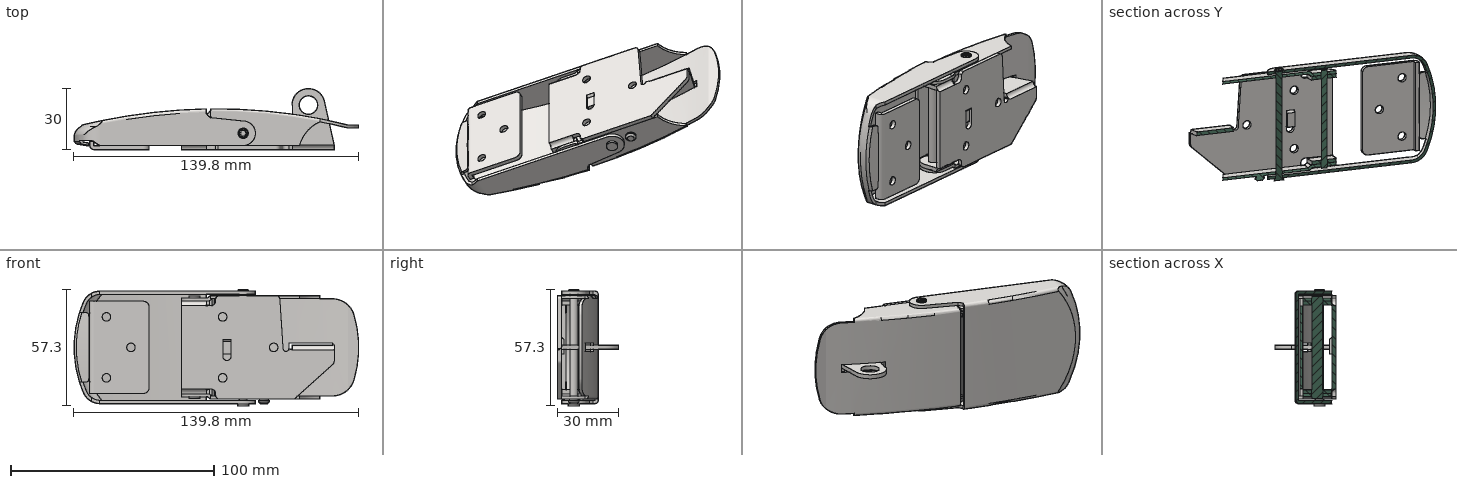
import cadquery as cq
import math


TOTAL_LENGTH = 139.8
TOTAL_WIDTH = 57.3
TOTAL_HEIGHT = 30.0
PLATE = 2.1
RIM = 2.1
BEND = 2.3
HOLE_RADIUS = 2.1
HOLE_Z = 15.0
NOSE_RADIUS = 55.9
ABOVE = 55.9

HINGE_X = 59.1
HINGE_Y = 9.2
HINGE_RADIUS = 2.7
HINGE_LENGTH = 50.3
PIVOT_X = 83.0
PIVOT_Y = 8.1
PIVOT_RADIUS = 2.0
PIVOT_TOP = 28.5
PIVOT_HEAD = 2.5
PIVOT_FOOT = 2.8
HEAD_CHAMFER = 0.4
SOCKET_RADIUS = 1.3
SOCKET_DEPTH = 1.4
LOBES = 6
LOBE_RADIUS = 0.49

COVER_HALF = 27.7
COVER_WALL = 1.7
COVER_END = 65.0
COVER_FILLET = 1.7
COVER_CORNER = 9.1
COVER_TOP = [(-2.8, 10.5), (32.9, 17.6), (COVER_END, 20.1)]
NOSE_ROUND = [(-0.1, 5.0), (1.1, 9.6), (3.4, 11.5)]
NOSE_SLOPE = 1.0
RIM_RISE = 4.5
RIM_KNEE_X = 8.7
RIM_FOOT_X = 12.6
ARM_RADIUS = PIVOT_Y - RIM
ARM_ROOT_Y = 15.8
ARM_ROOT_X = 66.8
LIP_HALF = 17.0
LIP_TIP = 7.3
LIP_CORNER = 1.4
LIP_THICK = 1.1
LIP_LINE = [(-1.4, 5.6), (1.1, 2.8), (11.2, 1.1)]

HANDLE_START = 67.1
HANDLE_HALF = 25.5
HANDLE_WALL = 1.5
HANDLE_CREST = 20.1
HANDLE_MIDDLE = (107.5, 17.5)
GRIP_BEND = (134.5, 12.2)
GRIP_CORNER = 11.2
HANDLE_FILLET = 1.4
WALL_END_LOW = 110.7
WALL_END_MIDDLE = (114.1, 8.7)
WALL_END_HIGH = (120.7, 13.7)
HANDLE_INNER = HANDLE_HALF - HANDLE_WALL
LEG_RADIUS = 6.5
LEG_FLAT = 0.5
LEG_OUTER = 24.3
LEG_JOG = (65.6, 67.0)
LEG_END = 71.3
TONGUE_TIP = 55.5
TONGUE_TOP = 17.8
TONGUE_HALF = 20.4
TONGUE_STEP_START = 65.6
TONGUE_STEP_END = 67.8
STUD_X = 93.3
STUD_NECK = 0.5
STUD_NECK_RADIUS = 2.2
STUD_HEAD = 1.7
STUD_RADIUS = 2.7
STUD_CHAMFER = 1.0
SLOT_LEFT = 105.5
SLOT_RIGHT = 127.0
SLOT_WIDTH = 4.0

BASE_LEFT = HINGE_X - LEG_RADIUS
BASE_RIGHT = 127.8
BASE_HALF = 25.5
SLOPE_START_X = 108.1
SLOPE_END_Z = -7.7
TOP_CORNER_X = 101.0
SLOPE_CORNER = 2.8
TOP_CORNER = 2.1
EAR_OUTER = LEG_OUTER - HANDLE_WALL
EAR_BEND_END = 65.0
EAR_END = 66.4
NOTCH_RADIUS = 2.2
SHOULDER_X = 70.7
LUG_FACE = 1.1
LUG_LEFT = 107.2
EYE_X = 115.0
EYE_RADIUS = 8.1
EYE_HOLE = 4.5
RELIEF_RADIUS = 1.4
RELIEF_X = 104.0
RELIEF_Z = -0.5
TAB_X = 75.1
TAB_WIDTH = 4.0
TAB_ROOT = 3.9
TAB_END = -3.4
TAB_LIFT = 1.1
SLOT_END = -6.5
BASE_HOLES = [(73.0, HOLE_Z), (73.0, -HOLE_Z), (98.0, 0)]

STRIKE_LEFT = 7.7
STRIKE_RIGHT = 36.9
STRIKE_HALF = 22.6
STRIKE_HOOK = 4.2
STRIKE_CORNER = 3.0
STRIKE_HOLES = [(16.0, HOLE_Z), (16.0, -HOLE_Z), (28.0, 0)]


def slab(outline, low, high):
    """Extrude a closed side outline (X, Y) from Z = low to Z = high."""
    return outline.extrude(high - low).translate((0, 0, low))


def rise(outline, low, high):
    """Extrude a closed plan outline (X, Z) from Y = low to Y = high."""
    return outline.extrude(-(high - low)).translate((0, low, 0))


def post(x, y, radius, low, high):
    """Round post along Z."""
    return slab(cq.Workplane("XY").center(x, y).circle(radius), low, high)


def bore(x, z):
    """Round mounting hole through a plate."""
    return rise(cq.Workplane("XZ").center(x, z).circle(HOLE_RADIUS), -PLATE, 2 * PLATE)


def both_sides(body):
    """The body together with its mirror image across the middle plane."""
    return body.union(body.mirror("XY"))


def make_strike():
    """Flat plate whose end bends up into a hook."""
    side = (
        cq.Workplane("XY")
        .moveTo(STRIKE_RIGHT, 0)
        .lineTo(STRIKE_LEFT + BEND, 0)
        .radiusArc((STRIKE_LEFT, BEND), BEND)
        .lineTo(STRIKE_LEFT, STRIKE_HOOK)
        .lineTo(STRIKE_LEFT + PLATE, STRIKE_HOOK)
        .lineTo(STRIKE_LEFT + PLATE, PLATE)
        .lineTo(STRIKE_RIGHT, PLATE)
        .close()
    )
    strike = slab(side, -STRIKE_HALF, STRIKE_HALF)
    strike = strike.edges("|Y").edges(">X").fillet(STRIKE_CORNER)
    for x, z in STRIKE_HOLES:
        strike = strike.cut(bore(x, z))
    return strike


def base_sheet():
    """Flat part of the base, notched beside the ears and beside the lug."""
    neck = EAR_OUTER - BEND
    notch_left = EAR_BEND_END + NOTCH_RADIUS
    notch_right = notch_left + NOTCH_RADIUS
    shoulder = BASE_HALF - (SHOULDER_X - notch_right)
    lug_root = LUG_FACE - BEND
    outline = (
        cq.Workplane("XZ")
        .moveTo(BASE_LEFT, -neck)
        .lineTo(notch_left, -neck)
        .radiusArc((notch_right, -neck - NOTCH_RADIUS), NOTCH_RADIUS)
        .lineTo(notch_right, -shoulder)
        .lineTo(SHOULDER_X, -BASE_HALF)
        .lineTo(SLOPE_START_X, -BASE_HALF)
        .lineTo(BASE_RIGHT, SLOPE_END_Z)
        .lineTo(BASE_RIGHT, lug_root)
        .lineTo(LUG_LEFT, lug_root)
        .lineTo(RELIEF_X + RELIEF_RADIUS, RELIEF_Z)
        .threePointArc((RELIEF_X, RELIEF_Z - RELIEF_RADIUS), (RELIEF_X - RELIEF_RADIUS, RELIEF_Z))
        .lineTo(TOP_CORNER_X, BASE_HALF)
        .lineTo(SHOULDER_X, BASE_HALF)
        .lineTo(notch_right, shoulder)
        .lineTo(notch_right, neck + NOTCH_RADIUS)
        .radiusArc((notch_left, neck), NOTCH_RADIUS)
        .lineTo(BASE_LEFT, neck)
        .close()
    )
    sheet = rise(outline, 0, PLATE)
    for x, z, radius in [(BASE_RIGHT, SLOPE_END_Z, SLOPE_CORNER), (TOP_CORNER_X, BASE_HALF, TOP_CORNER)]:
        corner = cq.selectors.NearestToPointSelector((x, PLATE / 2, z))
        sheet = sheet.edges(corner).fillet(radius)
    return sheet


def bend_strip(face_z, start_x, end_x):
    """Quarter-round plate bend from the flat sheet up to a wall whose outer face is at face_z."""
    section = (
        cq.Workplane("YZ")
        .moveTo(0, face_z - BEND)
        .radiusArc((BEND, face_z), -BEND)
        .lineTo(BEND, face_z - PLATE)
        .radiusArc((PLATE, face_z - BEND), BEND - PLATE)
        .close()
    )
    return section.extrude(end_x - start_x).translate((start_x, 0, 0))


def make_ear():
    """Upright ear at +Z with a rounded top around the hinge pin."""
    shoulder_y = HINGE_Y + LEG_FLAT
    outline = (
        cq.Workplane("XY")
        .moveTo(BASE_LEFT, BEND)
        .lineTo(BASE_LEFT, shoulder_y)
        .threePointArc((HINGE_X, shoulder_y + LEG_RADIUS), (HINGE_X + LEG_RADIUS, shoulder_y))
        .lineTo(EAR_END, BEND)
        .close()
    )
    ear = slab(outline, EAR_OUTER - PLATE, EAR_OUTER)
    return ear.union(bend_strip(EAR_OUTER, BASE_LEFT, EAR_BEND_END))


def make_lug():
    """Upright lug with a round eye for a padlock."""
    eye_y = TOTAL_HEIGHT - EYE_RADIUS
    run = BASE_RIGHT - EYE_X
    drop = eye_y - BEND
    angle = math.acos(EYE_RADIUS / math.hypot(run, drop)) - math.atan2(drop, run)
    touch = (EYE_X + EYE_RADIUS * math.cos(angle), eye_y + EYE_RADIUS * math.sin(angle))
    outline = (
        cq.Workplane("XY")
        .moveTo(LUG_LEFT, BEND)
        .lineTo(LUG_LEFT, eye_y)
        .lineTo(EYE_X - EYE_RADIUS, eye_y)
        .threePointArc((EYE_X, TOTAL_HEIGHT), touch)
        .lineTo(BASE_RIGHT, BEND)
        .close()
    )
    lug = slab(outline, LUG_FACE - PLATE, LUG_FACE)
    lug = lug.cut(post(EYE_X, eye_y, EYE_HOLE, -ABOVE, ABOVE))
    return lug.union(bend_strip(LUG_FACE, LUG_LEFT, BASE_RIGHT))


def tab_slot():
    """Slot in the base with one square end and one round end."""
    half = TAB_WIDTH / 2
    outline = (
        cq.Workplane("XZ")
        .moveTo(TAB_X - half, TAB_ROOT)
        .lineTo(TAB_X + half, TAB_ROOT)
        .lineTo(TAB_X + half, SLOT_END + half)
        .threePointArc((TAB_X, SLOT_END), (TAB_X - half, SLOT_END + half))
        .close()
    )
    return rise(outline, -PLATE, 2 * PLATE)


def raised_tab():
    """Tab pressed inward from the slot's square end, joined there by a short slope."""
    section = (
        cq.Workplane("YZ")
        .moveTo(0, TAB_ROOT)
        .lineTo(TAB_LIFT, TAB_ROOT - TAB_LIFT)
        .lineTo(TAB_LIFT, TAB_END)
        .lineTo(TAB_LIFT + PLATE, TAB_END)
        .lineTo(TAB_LIFT + PLATE, TAB_ROOT)
        .lineTo(PLATE, TAB_ROOT + TAB_LIFT)
        .lineTo(0, TAB_ROOT + TAB_LIFT)
        .close()
    )
    return section.extrude(TAB_WIDTH).translate((TAB_X - TAB_WIDTH / 2, 0, 0))


def make_base():
    """Mounting plate with two hinge ears, a padlock lug and a pressed tab."""
    base = base_sheet().union(both_sides(make_ear())).union(make_lug())
    base = base.cut(tab_slot()).union(raised_tab())
    for x, z in BASE_HOLES:
        base = base.cut(bore(x, z))
    return base.cut(post(HINGE_X, HINGE_Y, HINGE_RADIUS, -ABOVE, ABOVE))


def nose_plan(inset):
    """Plan shape of the cover: straight sides, a wide nose curve and rounded corners."""
    half = COVER_HALF - inset
    length = 2 * NOSE_RADIUS
    sides = rise(cq.Workplane("XZ").center(length / 2, 0).rect(length, 2 * half), 0, ABOVE)
    nose = rise(cq.Workplane("XZ").center(NOSE_RADIUS, 0).circle(NOSE_RADIUS - inset), 0, ABOVE)
    return sides.intersect(nose).edges("|Y").edges("<X").fillet(COVER_CORNER - inset)


def nose_dome(inset):
    """Disc with a rounded upper rim, which turns the top of the cover over into the nose."""
    rim, shoulder, crest = [(x + inset, y) for x, y in NOSE_ROUND]
    outline = (
        cq.Workplane("XY")
        .moveTo(NOSE_RADIUS, 0)
        .lineTo(rim[0], 0)
        .lineTo(*rim)
        .threePointArc(shoulder, crest)
        .lineTo(NOSE_RADIUS, crest[1] + NOSE_SLOPE * (NOSE_RADIUS - crest[0]))
        .close()
    )
    return outline.revolve(360, (NOSE_RADIUS, 0), (NOSE_RADIUS, 1))


def cover_top(drop):
    """Crowned top edge of the cover, lowered by drop, running from its end to its nose."""
    nose, middle, end = [(x, y - drop) for x, y in COVER_TOP]
    return cq.Workplane("XY").moveTo(*end).threePointArc(middle, nose)


def cover_block():
    """Solid cover with its two arms still joined across the width."""
    outline = (
        cover_top(0)
        .lineTo(COVER_TOP[0][0], 0)
        .lineTo(RIM_FOOT_X, 0)
        .lineTo(RIM_FOOT_X, RIM)
        .lineTo(PIVOT_X, RIM)
        .threePointArc((PIVOT_X + ARM_RADIUS, PIVOT_Y), (PIVOT_X, PIVOT_Y + ARM_RADIUS))
        .lineTo(ARM_ROOT_X, ARM_ROOT_Y)
        .lineTo(COVER_END, ARM_ROOT_Y + ARM_ROOT_X - COVER_END)
        .close()
    )
    block = slab(outline, -COVER_HALF, COVER_HALF)
    block = block.intersect(nose_plan(0))
    edge = cq.selectors.NearestToPointSelector((*COVER_TOP[1], COVER_HALF))
    return block.edges(edge).fillet(COVER_FILLET).intersect(nose_dome(0))


def cover_cavity():
    """Room inside the cover, open below and towards the handle."""
    outline = (
        cover_top(COVER_WALL)
        .lineTo(COVER_TOP[0][0], 0)
        .lineTo(2 * PIVOT_X, 0)
        .lineTo(2 * PIVOT_X, ABOVE)
        .lineTo(COVER_END, ABOVE)
        .close()
    )
    cavity = slab(outline, -ABOVE, ABOVE)
    return cavity.intersect(nose_plan(COVER_WALL)).intersect(nose_dome(COVER_WALL))


def rim_cut():
    """Space under the nose at +Z, beside the lip."""
    outline = (
        cq.Workplane("XY")
        .moveTo(-1.4, 0)
        .lineTo(RIM_FOOT_X, 0)
        .lineTo(RIM_FOOT_X, RIM)
        .lineTo(RIM_KNEE_X, RIM_RISE)
        .lineTo(-1.4, RIM_RISE)
        .close()
    )
    return slab(outline, LIP_HALF, ABOVE)


def nose_ring(section):
    """Revolve a section, given as (distance in from the nose, Y), along the nose curve."""
    outline = cq.Workplane("XY").polyline(section).close()
    return outline.revolve(360, (NOSE_RADIUS, 0), (NOSE_RADIUS, 1))


def lip_strip(length, corner):
    """Middle strip of the nose, as wide as the lip, with its inner corners rounded."""
    middle_x = length - ABOVE / 2
    strip = rise(cq.Workplane("XZ").center(middle_x, 0).rect(ABOVE, 2 * LIP_HALF), -1.4, ABOVE)
    return strip.edges("|Y").edges(">X").fillet(corner) if corner else strip


def below_nose_line(line):
    """Everything under a line of (distance in from the nose, Y) points, all along the nose."""
    first, last = line[0][0], line[-1][0]
    return nose_ring([(first, -1.4), *line, (last, -1.4)])


def make_cover():
    """Sheet cover that hooks the strike and ends in two pivot arms."""
    lip_top = [(x, y + LIP_THICK) for x, y in LIP_LINE]
    lip = below_nose_line(lip_top).intersect(lip_strip(LIP_TIP, LIP_CORNER))
    under_lip = below_nose_line(LIP_LINE).intersect(lip_strip(LIP_TIP + 1.4, 0))
    cover = cover_block().cut(cover_cavity().cut(lip))
    cover = cover.cut(rim_cut()).cut(rim_cut().mirror("XY")).cut(under_lip)
    return cover.cut(post(PIVOT_X, PIVOT_Y, PIVOT_RADIUS, -ABOVE, ABOVE))


def under_top(drop, half):
    """Everything under the handle's top surface lowered by drop: crown and flat grip."""
    bend_x, bend_y = GRIP_BEND
    middle_x, middle_y = HANDLE_MIDDLE
    outline = (
        cq.Workplane("XY")
        .moveTo(TOTAL_LENGTH, bend_y - drop)
        .lineTo(bend_x, bend_y - drop)
        .threePointArc((middle_x, middle_y - drop), (HANDLE_START, HANDLE_CREST - drop))
        .lineTo(HANDLE_START, 0)
        .lineTo(TOTAL_LENGTH, 0)
        .close()
    )
    return slab(outline, -half, half)


def top_sheet():
    """Sheet from the tongue end of the handle to the rounded end of the grip."""
    centre_x = TOTAL_LENGTH - NOSE_RADIUS
    plan = rise(cq.Workplane("XZ").center(centre_x, 0).circle(NOSE_RADIUS), 0, ABOVE)
    sheet_sides = under_top(0, HANDLE_INNER).cut(under_top(HANDLE_WALL, HANDLE_INNER))
    block = cq.Workplane("XZ").center(centre_x, 0).rect(2 * NOSE_RADIUS, 2 * HANDLE_INNER)
    plan = plan.intersect(rise(block, 0, ABOVE)).edges("|Y").edges(">X").fillet(GRIP_CORNER)
    return sheet_sides.intersect(plan)


def side_walls():
    """Two side walls, rounded along the top and hollowed by an arc at their free ends."""
    walls = under_top(0, HANDLE_HALF)
    for side in (-1, 1):
        top_edge = cq.selectors.NearestToPointSelector((PIVOT_X, HANDLE_CREST, side * HANDLE_HALF))
        walls = walls.edges(top_edge).fillet(HANDLE_FILLET)
    outside = (
        cq.Workplane("XY")
        .moveTo(0, RIM)
        .lineTo(WALL_END_LOW, RIM)
        .threePointArc(WALL_END_MIDDLE, WALL_END_HIGH)
        .lineTo(WALL_END_HIGH[0], ABOVE)
        .lineTo(TOTAL_LENGTH, ABOVE)
        .lineTo(TOTAL_LENGTH, 0)
        .lineTo(0, 0)
        .close()
    )
    return walls.cut(slab(outside, -ABOVE, ABOVE)).cut(under_top(-ABOVE, HANDLE_INNER))


def make_tongue():
    """Tongue that steps down from the handle and reaches in under the end of the cover."""
    low_y = TONGUE_TOP - HANDLE_WALL
    sheet_y = HANDLE_CREST - HANDLE_WALL / 2
    middle_y = TONGUE_TOP - HANDLE_WALL / 2
    step = (
        cq.Workplane("XY")
        .moveTo(TONGUE_STEP_START, low_y)
        .lineTo(TONGUE_STEP_END, low_y)
        .lineTo(TONGUE_STEP_END + HANDLE_WALL, sheet_y)
        .lineTo(HANDLE_START, sheet_y)
        .lineTo(TONGUE_STEP_START, TONGUE_TOP)
        .close()
    )
    length = TONGUE_STEP_END - TONGUE_TIP
    flat = cq.Workplane("XY").center(TONGUE_TIP + length / 2, middle_y).rect(length, HANDLE_WALL)
    return slab(step, -HANDLE_INNER, HANDLE_INNER).union(slab(flat, -TONGUE_HALF, TONGUE_HALF))


def make_leg():
    """Leg at +Z, jogged inward from the side wall and rounded around the hinge pin."""
    jog_start, jog_end = LEG_JOG
    jog = HANDLE_HALF - LEG_OUTER
    plan = (
        cq.Workplane("XZ")
        .moveTo(BASE_LEFT, LEG_OUTER)
        .lineTo(jog_start, LEG_OUTER)
        .lineTo(jog_end, LEG_OUTER + jog)
        .lineTo(LEG_END, HANDLE_HALF)
        .lineTo(LEG_END, HANDLE_INNER)
        .lineTo(jog_end + HANDLE_WALL / 2, HANDLE_INNER)
        .lineTo(jog_start + HANDLE_WALL / 2, LEG_OUTER - HANDLE_WALL)
        .lineTo(BASE_LEFT, LEG_OUTER - HANDLE_WALL)
        .close()
    )
    outline = (
        cq.Workplane("XY")
        .moveTo(LEG_END, HINGE_Y - LEG_FLAT - LEG_RADIUS)
        .lineTo(HINGE_X, HINGE_Y - LEG_FLAT - LEG_RADIUS)
        .radiusArc((BASE_LEFT, HINGE_Y - LEG_FLAT), LEG_RADIUS)
        .lineTo(BASE_LEFT, HINGE_Y + LEG_FLAT)
        .radiusArc((HINGE_X, HINGE_Y + LEG_FLAT + LEG_RADIUS), LEG_RADIUS)
        .lineTo(LEG_END, HINGE_Y + LEG_FLAT + LEG_RADIUS)
        .close()
    )
    return rise(plan, 0, ABOVE).intersect(slab(outline, 0, ABOVE))


def lug_slot():
    """Slot in the top that lets the lug through."""
    length = SLOT_RIGHT - SLOT_LEFT
    middle_x = (SLOT_LEFT + SLOT_RIGHT) / 2
    return rise(cq.Workplane("XZ").center(middle_x, 0).rect(length, SLOT_WIDTH), 0, ABOVE)


def make_stud():
    """Headed stud standing out from the -Z wall."""
    neck_end = HANDLE_HALF + STUD_NECK
    neck = post(STUD_X, PIVOT_Y, STUD_NECK_RADIUS, -neck_end, -HANDLE_HALF)
    head = post(STUD_X, PIVOT_Y, STUD_RADIUS, -neck_end - STUD_HEAD, -neck_end)
    return neck.union(head.faces("<Z").chamfer(STUD_CHAMFER))


def make_handle():
    """Handle lever with grip, tongue, hinge legs, lug slot and stud."""
    handle = top_sheet().union(side_walls()).union(make_tongue())
    handle = handle.union(both_sides(make_leg())).union(make_stud()).cut(lug_slot())
    handle = handle.cut(post(HINGE_X, HINGE_Y, HINGE_RADIUS, -ABOVE, ABOVE))
    return handle.cut(post(PIVOT_X, PIVOT_Y, PIVOT_RADIUS, -ABOVE, ABOVE))


def make_hinge_pin():
    """Plain pin through the base ears and the handle legs."""
    return post(HINGE_X, HINGE_Y, HINGE_RADIUS, -HINGE_LENGTH / 2, HINGE_LENGTH / 2)


def make_pivot_pin():
    """Headed pin through cover and handle, with a star socket in its +Z head."""
    bottom = PIVOT_TOP - TOTAL_WIDTH
    head = post(PIVOT_X, PIVOT_Y, PIVOT_HEAD, COVER_HALF, PIVOT_TOP).faces(">Z").chamfer(HEAD_CHAMFER)
    foot = post(PIVOT_X, PIVOT_Y, PIVOT_FOOT, bottom, -COVER_HALF)
    pin = post(PIVOT_X, PIVOT_Y, PIVOT_RADIUS, bottom, PIVOT_TOP).union(head).union(foot)
    floor = PIVOT_TOP - SOCKET_DEPTH
    pin = pin.cut(post(PIVOT_X, PIVOT_Y, SOCKET_RADIUS, floor, ABOVE))
    for lobe in range(LOBES):
        angle = 2 * math.pi * lobe / LOBES
        x = PIVOT_X + SOCKET_RADIUS * math.cos(angle)
        y = PIVOT_Y + SOCKET_RADIUS * math.sin(angle)
        pin = pin.cut(post(x, y, LOBE_RADIUS, floor, ABOVE))
    return pin


strike = make_strike()
base = make_base()
cover = make_cover()
handle = make_handle()
hinge_pin = make_hinge_pin()
pivot_pin = make_pivot_pin()

result = cq.Compound.makeCompound([
    strike.val(),
    base.val(),
    cover.val(),
    handle.val(),
    hinge_pin.val(),
    pivot_pin.val(),
])